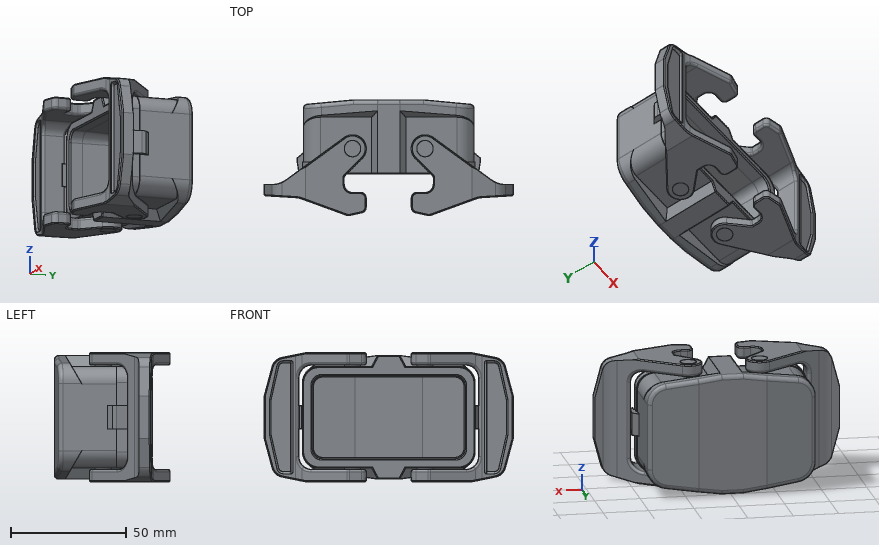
import cadquery as cq
import math

BODY_HALF_X = 37.0
BODY_HALF_Z = 22.0
BODY_CORNER_R = 7.5
RIM_HALF_X = 37.4
RIM_DEPTH = 5.1
RIM_CORNER_R = 6.9
RIM_CHAMFER = 0.5
CROWN_Y = 32.15
CROWN_FLAT_HALF_X = 15.0
CROWN_DROP = 2.05
CROWN_EDGE_R = 2.0

FLANGE_HALF_Z = 26.8
FLANGE_SIDE_HALF_Z = 22.4
FLANGE_CORNER_R = 9.0
LEDGE_Y = 24.6
LEDGE_ANGLE = 59.8
RIB_TOP_HALF_X = 4.8
RIB_BASE_HALF_X = 7.4

MOUTH_HALF_X = 33.2
MOUTH_HALF_Z = 18.0
MOUTH_DEPTH = 6.0
MOUTH_CHAMFER = 0.6
CAVITY_CORNER_R = 4.5
CAVITY_DRAFT = 1.6
CAVITY_FLOOR_Y = 29.0
FLOOR_FLAT_HALF_X = 14.6

LUG_HALF_Z = 5.0
LUG_TIP_X = 39.7
LUG_BACK_Y = 9.2
LUG_SHOULDER_Y = 6.9
LUG_NOSE_OUTER_X = 38.6
LUG_NOSE_INNER_X = 37.9
LUG_NOSE_Y = -1.5
LUG_ROOT_DEPTH = 2.0

PIVOT_X = 15.7
PIVOT_Y = 11.0
EYE_R = 6.0
PIN_R = 3.55
PIN_HEAD_SETBACK = 0.1
PIN_ROOT_DEPTH = 1.0
ARM_OUTER_Z = 28.0
ARM_INNER_Z = 22.6
ARM_BACK_ANGLE = 36.1
ARM_NECK_ANGLE = 45.0
LEVER_END_X = 54.0
GRIP_BACK_Y = -4.5
GRIP_FRONT_Y = -9.45
GRIP_BACK_R = 10.0
SLOT_X = 19.3
SLOT_Y = -8.2
SLOT_R = 3.7
THROAT_R = 1.0
HOOK_TIP_X = 9.75
HOOK_BACK_Y = -7.8
HOOK_FRONT_Y = -16.4
HOOK_R = 2.5
HOOK_HEEL_X = 17.6
HOOK_HEEL_Y = -18.15
HOOK_HEEL_R = 2.0
ARM_FOOT_X = 39.0
ARM_FOOT_Y = -10.35
ARM_FOOT_R = 10.0
LEVER_CHAMFER = 0.5
ARM_INNER_R = 1.1
BEND_X = 36.0
GRIP_CORNER_X = 49.7
GRIP_CORNER_Z = 25.2
GRIP_CORNER_R = 5.8
GRIP_END_HALF_Z = 9.2
GRIP_RIM_MIN_Z = 7.6
WINDOW_X = 38.9
WINDOW_R = 5.5

RECESS_DEPTH = 0.5
RECESS_OVERCUT = 0.7
RECESS_DRAFT = 45.0
RECESS_INNER_X = 41.4
RECESS_INNER_R = 1.5
RECESS_CORNER_X = 48.3
RECESS_CORNER_R = 3.0
RECESS_OUTER_X = 52.2
RECESS_HALF_Z = 24.7
RECESS_END_HALF_Z = 7.7

BIG = 200.0
TOLERANCE = 0.01


def rounded_outline(plane, corners):
    """Closed outline through (x, y, radius) corners; a zero radius stays sharp."""
    count = len(corners)
    path = None
    for i, (x, y, radius) in enumerate(corners):
        before = corners[i - 1]
        after = corners[(i + 1) % count]
        corner = cq.Vector(x, y)
        if radius == 0:
            points = [corner]
        else:
            to_before = (cq.Vector(*before[:2]) - corner).normalized()
            to_after = (cq.Vector(*after[:2]) - corner).normalized()
            half_angle = to_before.getAngle(to_after) / 2
            setback = radius / math.tan(half_angle)
            bisector = (to_before + to_after).normalized()
            middle = corner + bisector * (radius / math.sin(half_angle) - radius)
            points = [corner + to_before * setback, middle, corner + to_after * setback]
        start = points[0].toTuple()[:2]
        path = cq.Workplane(plane).moveTo(*start) if path is None else path.lineTo(*start)
        if radius:
            path = path.threePointArc(points[1].toTuple()[:2], points[2].toTuple()[:2])
    return path.close()


def y_prism(corners, y_start, y_end):
    """Prism along +Y from an X-Z outline."""
    length = y_end - y_start
    return rounded_outline("XZ", corners).extrude(-length).translate((0, y_start, 0))


def z_prism(corners, z_start, z_end):
    """Prism along +Z from an X-Y outline."""
    return rounded_outline("XY", corners).extrude(z_end - z_start).translate((0, 0, z_start))


def rectangle(half_x, half_z, radius):
    return [(-half_x, -half_z, radius), (half_x, -half_z, radius),
            (half_x, half_z, radius), (-half_x, half_z, radius)]


def both_sides(solid, plane):
    return solid.union(solid.mirror(plane))


def crown_profile(flat_half_x, y_top, drop):
    """X-Y silhouette from the rim plane up to a roof sloping off to both ends."""
    y_end = y_top - drop
    return [(-BODY_HALF_X, 0, 0), (BODY_HALF_X, 0, 0), (BODY_HALF_X, y_end, 0),
            (flat_half_x, y_top, 0), (-flat_half_x, y_top, 0), (-BODY_HALF_X, y_end, 0)]


def is_roof_border(edge):
    """True for the outer edges of the roof, false for its two bend lines and all lower edges."""
    center = edge.Center()
    on_roof = center.y > CROWN_Y - CROWN_DROP - 0.1
    bend_line = abs(center.z) < 0.1 and abs(abs(center.x) - CROWN_FLAT_HALF_X) < 0.1
    return on_roof and not bend_line


def make_flange():
    """Back of the hood, ending toward the front in sloped ledges above and below."""
    half = [(RIB_TOP_HALF_X, FLANGE_HALF_Z, 0),
            (BODY_HALF_X, FLANGE_SIDE_HALF_Z, FLANGE_CORNER_R)]
    upper = [(-x, z, r) for x, z, r in reversed(half)] + half
    lower = [(-x, -z, r) for x, z, r in upper]
    flange = y_prism(upper + lower, 0, CROWN_Y)
    roof = z_prism(crown_profile(CROWN_FLAT_HALF_X, CROWN_Y, CROWN_DROP), -BIG, BIG)
    flange = flange.intersect(roof)
    flange = flange.edges("not |Y").filter(is_roof_border).fillet(CROWN_EDGE_R)
    front = cq.Workplane("XY").box(BIG, BIG, BIG)
    front = front.translate((0, -BIG / 2, 0)).rotate((0, 0, 0), (1, 0, 0), LEDGE_ANGLE - 90)
    front = front.translate((0, LEDGE_Y, BODY_HALF_Z))
    return flange.cut(front).cut(front.mirror("XY"))


def make_cavity():
    """Chamfered straight mouth followed by a drafted pocket with a roof-shaped floor."""
    mouth_outline = rectangle(MOUTH_HALF_X, MOUTH_HALF_Z, CAVITY_CORNER_R)
    mouth = y_prism(mouth_outline, 0, MOUTH_DEPTH)
    flare_outline = rectangle(MOUTH_HALF_X + MOUTH_CHAMFER, MOUTH_HALF_Z + MOUTH_CHAMFER,
                              CAVITY_CORNER_R + MOUTH_CHAMFER)
    flare = rounded_outline("XZ", flare_outline).extrude(-MOUTH_CHAMFER, taper=45)
    deep = rounded_outline("XZ", mouth_outline).extrude(-(CROWN_Y - MOUTH_DEPTH), taper=CAVITY_DRAFT)
    deep = deep.translate((0, MOUTH_DEPTH, 0))
    floor = z_prism(crown_profile(FLOOR_FLAT_HALF_X, CAVITY_FLOOR_Y, CROWN_DROP), -BIG, BIG)
    return mouth.union(flare).union(deep.intersect(floor))


def make_lugs():
    root_x = MOUTH_HALF_X + LUG_ROOT_DEPTH
    lug = z_prism([(-root_x, RIM_CHAMFER, 0), (-root_x, LUG_BACK_Y, 0), (-BODY_HALF_X, LUG_BACK_Y, 0),
                   (-LUG_TIP_X, LUG_SHOULDER_Y, 0), (-LUG_TIP_X, RIM_DEPTH, 0),
                   (-LUG_NOSE_OUTER_X, LUG_NOSE_Y, 0), (-LUG_NOSE_INNER_X, LUG_NOSE_Y, 0),
                   (-LUG_NOSE_INNER_X, RIM_CHAMFER, 0)], -LUG_HALF_Z, LUG_HALF_Z)
    return both_sides(lug, "YZ")


def make_hood():
    body = y_prism(rectangle(BODY_HALF_X, BODY_HALF_Z, BODY_CORNER_R), 0, LEDGE_Y)
    rim = y_prism(rectangle(RIM_HALF_X, BODY_HALF_Z, RIM_CORNER_R), 0, RIM_DEPTH)
    rib = y_prism([(-RIB_BASE_HALF_X, BODY_HALF_Z, 0), (RIB_BASE_HALF_X, BODY_HALF_Z, 0),
                   (RIB_TOP_HALF_X, FLANGE_HALF_Z, 0), (-RIB_TOP_HALF_X, FLANGE_HALF_Z, 0)],
                  0, CROWN_Y - CROWN_EDGE_R)
    solid_hood = body.union(rim).union(make_flange()).union(both_sides(rib, "XY"))
    solid_hood = solid_hood.faces("<Y").edges().chamfer(RIM_CHAMFER)
    return solid_hood.cut(make_cavity()).union(make_lugs())


def lever_side_profile():
    """X-Y outline of the left lever, without the round pivot eye."""
    back = math.radians(ARM_BACK_ANGLE)
    neck = math.radians(ARM_NECK_ANGLE)
    back_x = -PIVOT_X - EYE_R * math.sin(back)
    back_y = PIVOT_Y + EYE_R * math.cos(back)
    neck_x = -PIVOT_X + EYE_R * math.sin(neck)
    neck_y = PIVOT_Y - EYE_R * math.cos(neck)
    grip_x = back_x - (back_y - GRIP_BACK_Y) / math.tan(back)
    throat_y = neck_y - (neck_x + SLOT_X) * math.tan(neck)
    return [(back_x, back_y, 0), (neck_x, neck_y, 0), (-SLOT_X, throat_y, THROAT_R),
            (-SLOT_X, SLOT_Y, SLOT_R), (-HOOK_TIP_X, HOOK_BACK_Y, HOOK_R),
            (-HOOK_TIP_X, HOOK_FRONT_Y, HOOK_R), (-HOOK_HEEL_X, HOOK_HEEL_Y, HOOK_HEEL_R),
            (-ARM_FOOT_X, ARM_FOOT_Y, ARM_FOOT_R), (-LEVER_END_X, GRIP_FRONT_Y, 0),
            (-LEVER_END_X, GRIP_BACK_Y, 0), (grip_x, GRIP_BACK_Y, GRIP_BACK_R)]


def is_outer_border(edge):
    """True for the side-profile edges of both outer arm faces and the rim of the grip's front."""
    center = edge.Center()
    on_arm = abs(abs(center.z) - ARM_OUTER_Z) < TOLERANCE
    on_bend = on_arm and abs(center.x + BEND_X) < TOLERANCE
    on_grip = (center.x < -WINDOW_X and edge.BoundingBox().xlen > TOLERANCE
               and abs(center.z) > GRIP_RIM_MIN_Z)
    grip_end = abs(center.x + LEVER_END_X) < TOLERANCE and abs(center.z) < TOLERANCE
    on_front = center.y < GRIP_FRONT_Y + TOLERANCE
    return (on_arm and not on_bend) or ((on_grip or grip_end) and on_front)


def is_inner_border(edge):
    """True for the edges around the window and the inner arm faces."""
    center = edge.Center()
    on_arm = abs(abs(center.z) - ARM_INNER_Z) < TOLERANCE
    runs_along_y = edge.BoundingBox().xlen < TOLERANCE and edge.BoundingBox().zlen < TOLERANCE
    on_grip = abs(center.z) < ARM_INNER_Z and center.x > -WINDOW_X - TOLERANCE
    return (on_arm or on_grip) and not runs_along_y


def make_recess():
    half = [(-RECESS_INNER_X, RECESS_HALF_Z, RECESS_INNER_R),
            (-RECESS_CORNER_X, RECESS_HALF_Z, RECESS_CORNER_R),
            (-RECESS_OUTER_X, RECESS_END_HALF_Z, 0)]
    corners = half + [(x, -z, r) for x, z, r in reversed(half)]
    front_y = GRIP_FRONT_Y - RECESS_OVERCUT
    recess = rounded_outline("XZ", corners).extrude(-(RECESS_DEPTH + RECESS_OVERCUT), taper=RECESS_DRAFT)
    return recess.translate((0, front_y, 0))


def make_lever():
    """Left lever: two arms joined by the grip."""
    arms = z_prism(lever_side_profile(), -ARM_OUTER_Z, ARM_OUTER_Z)
    eye = cq.Workplane("XY").center(-PIVOT_X, PIVOT_Y).circle(EYE_R)
    arms = arms.union(eye.extrude(ARM_OUTER_Z, both=True))

    outline = [(0, ARM_OUTER_Z, 0), (-BEND_X, ARM_OUTER_Z, 0),
               (-GRIP_CORNER_X, GRIP_CORNER_Z, GRIP_CORNER_R), (-LEVER_END_X, GRIP_END_HALF_Z, 0)]
    outline += [(x, -z, r) for x, z, r in reversed(outline)]
    arms = arms.intersect(y_prism(outline, -BIG, BIG))

    window = (cq.Workplane("XY").box(BIG, BIG, 2 * ARM_INNER_Z, centered=(False, True, True))
              .edges("|Y and <X").fillet(WINDOW_R)
              .translate((-WINDOW_X, 0, 0)))
    arms = arms.cut(window)
    arms = arms.edges().filter(is_inner_border).fillet(ARM_INNER_R)
    arms = arms.edges().filter(is_outer_border).chamfer(LEVER_CHAMFER)
    return arms.cut(make_recess())


def make_pins():
    """Pivot pins from the hood body to just below the outer arm faces."""
    pin_start = BODY_HALF_Z - PIN_ROOT_DEPTH
    pin_end = ARM_OUTER_Z - PIN_HEAD_SETBACK
    pin = (cq.Workplane("XY").workplane(offset=pin_start).center(-PIVOT_X, PIVOT_Y)
           .circle(PIN_R).extrude(pin_end - pin_start))
    return both_sides(pin, "XY")


def make_pin_holes():
    holes = cq.Workplane("XY").center(-PIVOT_X, PIVOT_Y).circle(PIN_R)
    return holes.extrude(BIG, both=True)


hood = make_hood()
lever = make_lever().cut(make_pin_holes()).union(make_pins())
result = hood.union(lever).union(lever.mirror("YZ"))